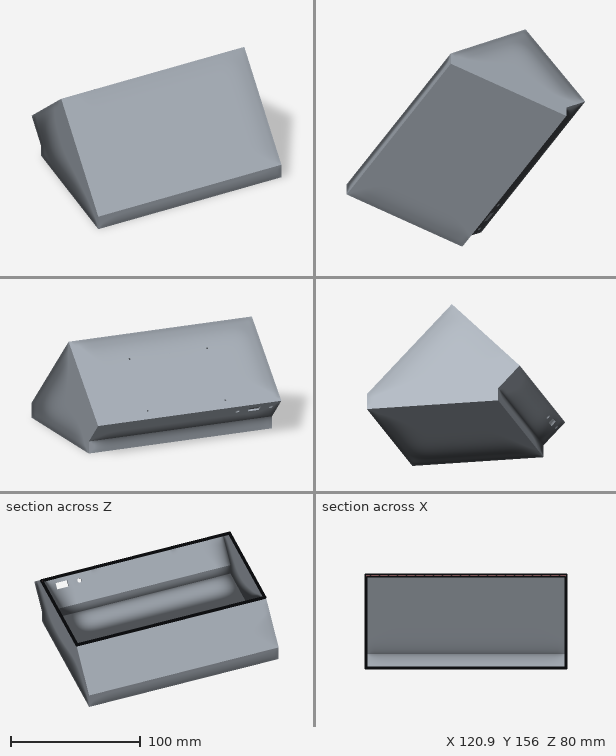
import cadquery as cq
import math

LENGTH_X = 120.9
LENGTH_Y = 156.0
HEIGHT = 80.0

TILT = math.radians(44.7)
APEX_X = 53.7
FOOT_X = 17.0
NOSE_Z = HEIGHT - APEX_X * math.tan(TILT)
FOOT_Z = NOSE_Z - FOOT_X / math.tan(TILT)
BACK_Z = HEIGHT - (LENGTH_X - APEX_X) / math.tan(TILT)
WALL = 1.5

MOUNT_HOLE_DIAMETER = 1.5
MOUNT_SPACING_Y = 66.1
MOUNT_CENTER_Y = 78.3
MOUNT_DISTANCES = (7.2, 53.5)

CONNECTOR_Y = 20.6
CONNECTOR_DISTANCE = 7.6
SLOT_WIDTH = 9.5
SLOT_HEIGHT = 5.0
SCREW_HOLE_DIAMETER = 3.5
SCREW_SPACING = 28.4

COVER_THICKNESS = WALL


def upper_face():
    """Plane on the upper slope: local x runs up the slope from the nose, local y along +Y."""
    up_slope = (math.cos(TILT), 0, math.sin(TILT))
    outward = (-math.sin(TILT), 0, math.cos(TILT))
    return cq.Plane(origin=(0, 0, NOSE_Z), xDir=up_slope, normal=outward)


def lower_face():
    """Plane on the lower slope: local x runs down the slope from the nose, local y along -Y."""
    down_slope = (math.sin(TILT), 0, -math.cos(TILT))
    outward = (-math.cos(TILT), 0, -math.sin(TILT))
    return cq.Plane(origin=(0, 0, NOSE_Z), xDir=down_slope, normal=outward)


def outer_block():
    outline = [
        (FOOT_X, 0),
        (LENGTH_X, 0),
        (LENGTH_X, BACK_Z),
        (APEX_X, HEIGHT),
        (0, NOSE_Z),
        (FOOT_X, FOOT_Z),
    ]
    return cq.Workplane("XZ").polyline(outline).close().extrude(-LENGTH_Y)


def cavity():
    """Inside space, one wall thickness in from every side and open at the bottom."""
    outline_wire = outer_block().faces("<Y").wires().val()
    inner_wire = outline_wire.offset2D(-WALL, "intersection")[0]
    inner_length = LENGTH_Y - 2 * WALL
    inside = cq.Workplane("XY").add(
        cq.Solid.extrudeLinear(inner_wire, [], cq.Vector(0, inner_length, 0))
    ).translate((0, WALL, 0))
    return inside.union(make_cover())


def make_cover():
    return cq.Workplane("XY").box(
        LENGTH_X - FOOT_X - 2 * WALL, LENGTH_Y - 2 * WALL, COVER_THICKNESS, centered=False
    ).translate((FOOT_X + WALL, WALL, 0))


def mount_holes():
    points = [
        (distance, MOUNT_CENTER_Y + side * MOUNT_SPACING_Y / 2)
        for distance in MOUNT_DISTANCES
        for side in (-1, 1)
    ]
    return cq.Workplane(upper_face()).pushPoints(points).circle(MOUNT_HOLE_DIAMETER / 2).extrude(-WALL)


def connector_openings():
    face = cq.Workplane(lower_face()).center(CONNECTOR_DISTANCE, -CONNECTOR_Y)
    slot = face.rect(SLOT_HEIGHT, SLOT_WIDTH).extrude(-WALL)
    screw_points = [(0, -SCREW_SPACING / 2), (0, SCREW_SPACING / 2)]
    screws = face.pushPoints(screw_points).circle(SCREW_HOLE_DIAMETER / 2).extrude(-WALL)
    return slot.union(screws)


def make_housing():
    return outer_block().cut(cavity()).cut(mount_holes()).cut(connector_openings())


housing = make_housing()
cover = make_cover()
result = cq.Compound.makeCompound([housing.val(), cover.val()])